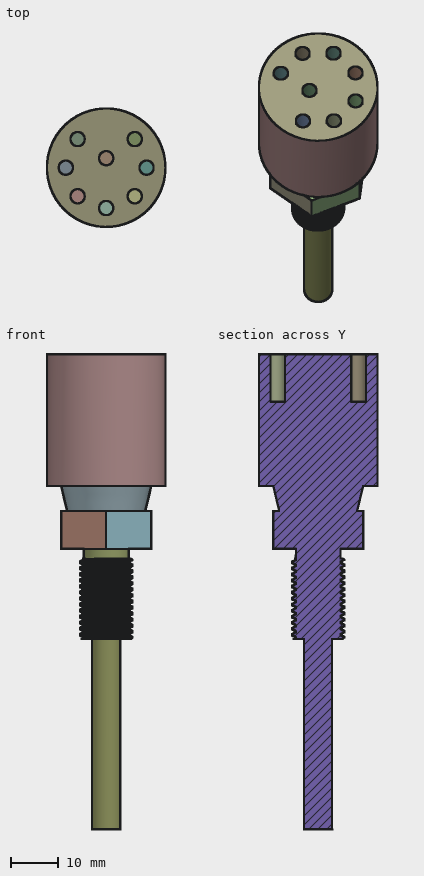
import cadquery as cq
import math

total_length = 100.0
rod_length = 40.0
thread_length = 17.0
core_length = 19.0
hex_bottom = rod_length + core_length
hex_height = 8.0
body_length = 27.8
body_bottom = total_length - body_length
hex_top = hex_bottom + hex_height

rod_diameter = 6.0
core_diameter = 9.5
thread_diameter = 11.1
hex_across_flats = 19.0
hex_sides = 6
hex_turn = 180.0 / hex_sides
collar_bottom_diameter = 16.5
collar_top_diameter = hex_across_flats
body_diameter = 25.0

counted_turns = 10
counted_turns_length = 12.7
thread_pitch = counted_turns_length / counted_turns
crest_width = 0.3
root_gap = 0.16
root_overlap = 0.05
crest_clearance = 0.1
helix_lead_in = 0.75 * thread_pitch
end_chamfer = 0.5

hole_diameter = 3.0
hole_depth = 10.0
ring_radius = 8.5
inner_hole_offset = 2.0
ring_step = 45.0
ring_hole_count = 7
first_ring_angle = 135.0


def cylinder(diameter, bottom, height):
    return cq.Workplane("XY").workplane(offset=bottom).circle(diameter / 2).extrude(height)


def make_hex():
    """Hexagon with flats facing +X and -X and corners on the Y axis."""
    corner_diameter = hex_across_flats / math.cos(math.radians(hex_turn))
    prism = cq.Workplane("XY").polygon(hex_sides, corner_diameter).extrude(hex_height)
    return prism.rotate((0, 0, 0), (0, 0, 1), hex_turn).translate((0, 0, hex_bottom))


def make_collar():
    """Cone that widens from the hexagon up to the body."""
    return (
        cq.Workplane("XY")
        .workplane(offset=hex_top)
        .circle(collar_bottom_diameter / 2)
        .workplane(offset=body_bottom - hex_top)
        .circle(collar_top_diameter / 2)
        .loft(combine=True)
    )


def make_thread_ridge():
    """Right-hand helical ridge, trimmed and chamfered at both ends."""
    core_radius = core_diameter / 2
    outer_radius = thread_diameter / 2
    inner_radius = core_radius - root_overlap
    half_crest = crest_width / 2
    half_root = (thread_pitch - root_gap) / 2
    helix = cq.Wire.makeHelix(thread_pitch, thread_length + 2 * thread_pitch, core_radius)
    ridge = (
        cq.Workplane("XZ")
        .polyline([
            (inner_radius, -half_root),
            (outer_radius, -half_crest),
            (outer_radius, half_crest),
            (inner_radius, half_root),
        ])
        .close()
        .sweep(cq.Workplane(obj=helix), isFrenet=True)
        .translate((0, 0, rod_length - helix_lead_in))
    )
    envelope = cylinder(thread_diameter + 2 * crest_clearance, rod_length, thread_length)
    return ridge.intersect(envelope.edges().chamfer(end_chamfer))


def cut_contact_holes(part):
    ring_angles = [math.radians(first_ring_angle + i * ring_step) for i in range(ring_hole_count)]
    centers = [(ring_radius * math.cos(a), ring_radius * math.sin(a)) for a in ring_angles]
    centers.append((0, inner_hole_offset))
    holes = (
        cq.Workplane("XY")
        .workplane(offset=total_length - hole_depth)
        .pushPoints(centers)
        .circle(hole_diameter / 2)
        .extrude(hole_depth)
    )
    return part.cut(holes)


rod = cylinder(rod_diameter, 0, rod_length)
core = cylinder(core_diameter, rod_length, core_length)
body = cut_contact_holes(cylinder(body_diameter, body_bottom, body_length))

result = core.union(make_thread_ridge()).union(rod).union(make_hex()).union(make_collar()).union(body)